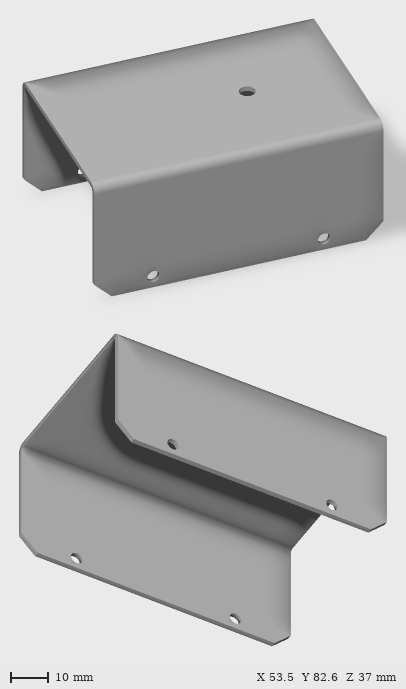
import cadquery as cq

width = 53.5
length = 82.6
height = 37.0

sheet = 1.5
bend_outer_radius = 2.5
bend_inner_radius = bend_outer_radius - sheet

corner_cut = 4.95

wall_hole_diameter = 3.5
wall_hole_spacing = 48.7
wall_hole_height = 3.5
top_hole_diameter = 4.55
top_hole_y = 12.6


def rounded_block(block_width, block_height, radius):
    """Full-length block standing on Z = 0 with its two long top edges rounded."""
    return (
        cq.Workplane("XY")
        .box(block_width, length, block_height, centered=(True, True, False))
        .edges("|Y and >Z")
        .fillet(radius)
    )


def folded_channel():
    """Sheet folded into a channel open at the bottom and both ends."""
    outside = rounded_block(width, height, bend_outer_radius)
    inside = rounded_block(width - 2 * sheet, height - sheet, bend_inner_radius)
    return outside.cut(inside)


def corner_cutter(end):
    """Triangular prism across both walls at the end of the given sign."""
    end_y = end * length / 2
    return (
        cq.Workplane("YZ")
        .moveTo(end_y, 0)
        .lineTo(end_y - end * corner_cut, 0)
        .lineTo(end_y, corner_cut)
        .close()
        .extrude(width / 2, both=True)
    )


def wall_hole_cutter():
    """Pair of holes passing through both side walls."""
    return (
        cq.Workplane("YZ")
        .pushPoints([(side * wall_hole_spacing / 2, wall_hole_height) for side in (-1, 1)])
        .circle(wall_hole_diameter / 2)
        .extrude(width / 2, both=True)
    )


def top_hole_cutter():
    """Single hole through the top panel, on the centreline."""
    return (
        cq.Workplane("XY")
        .center(0, top_hole_y)
        .circle(top_hole_diameter / 2)
        .extrude(height)
    )


result = folded_channel()
for end in (-1, 1):
    result = result.cut(corner_cutter(end))
result = result.cut(wall_hole_cutter())
result = result.cut(top_hole_cutter())